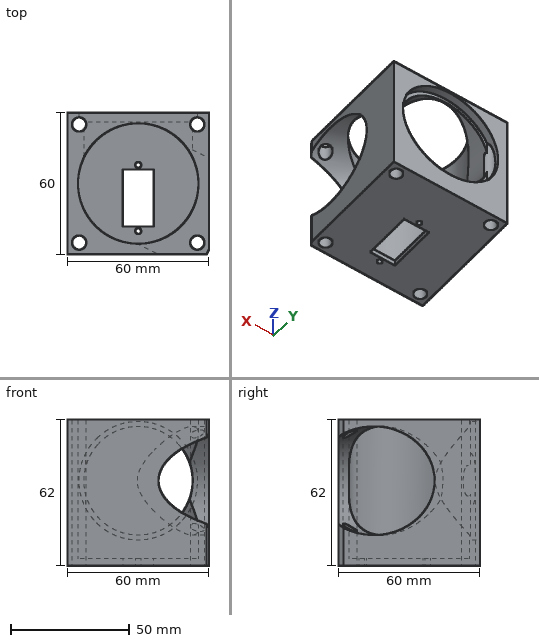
import cadquery as cq
import math

width = 60.0
height = 62.0

main_bore_diameter = 51.0
floor_thickness = 3.0

port_diameter = 46.0
port_height = 36.0
port_recess_diameter = 50.2
port_recess_depth = 4.0
slanted_port_angle = 26.5
port_reach = 2 * width

corner_flat_distance = 39.3

corner_hole_diameter = 5.9
corner_hole_spacing = 50.0

opening_width = 13.0
opening_length = 24.0
opening_center_y = -6.15
screw_hole_diameter = 2.4
screw_hole_spacing = 28.0


def port(angle):
    """Horizontal cylinder from the Z axis outwards, at an angle from +X."""
    direction = cq.Vector(math.cos(math.radians(angle)), math.sin(math.radians(angle)), 0)
    start = cq.Vector(0, 0, port_height)
    return cq.Workplane(obj=cq.Solid.makeCylinder(port_diameter / 2, port_reach, start, direction))


def main_bore():
    bore = cq.Workplane("XY", origin=(0, 0, floor_thickness))
    return bore.circle(main_bore_diameter / 2).extrude(height)


def port_recess():
    """Wider mouth of the +Y port, sunk into the +Y face."""
    face = cq.Workplane("XZ", origin=(0, width / 2, port_height))
    return face.circle(port_recess_diameter / 2).extrude(port_recess_depth)


def corner_trim():
    """Everything beyond the corner flat."""
    trim = cq.Workplane("XY").box(width, width, height, centered=(False, True, False))
    trim = trim.translate((corner_flat_distance, 0, 0))
    return trim.rotate((0, 0, 0), (0, 0, 1), -slanted_port_angle)


def corner_holes():
    holes = cq.Workplane("XY").rect(corner_hole_spacing, corner_hole_spacing, forConstruction=True)
    return holes.vertices().circle(corner_hole_diameter / 2).extrude(height)


def floor_cutouts():
    floor = cq.Workplane("XY", origin=(0, opening_center_y, 0))
    opening = floor.rect(opening_width, opening_length).extrude(floor_thickness)
    screw_holes = floor.rarray(1, screw_hole_spacing, 1, 2).circle(screw_hole_diameter / 2)
    return opening.union(screw_holes.extrude(floor_thickness))


result = cq.Workplane("XY").box(width, width, height, centered=(True, True, False))
result = result.cut(corner_trim())
result = result.cut(main_bore())
result = result.cut(port(90))
result = result.cut(port(-slanted_port_angle))
result = result.cut(port_recess())
result = result.cut(corner_holes())
result = result.cut(floor_cutouts())